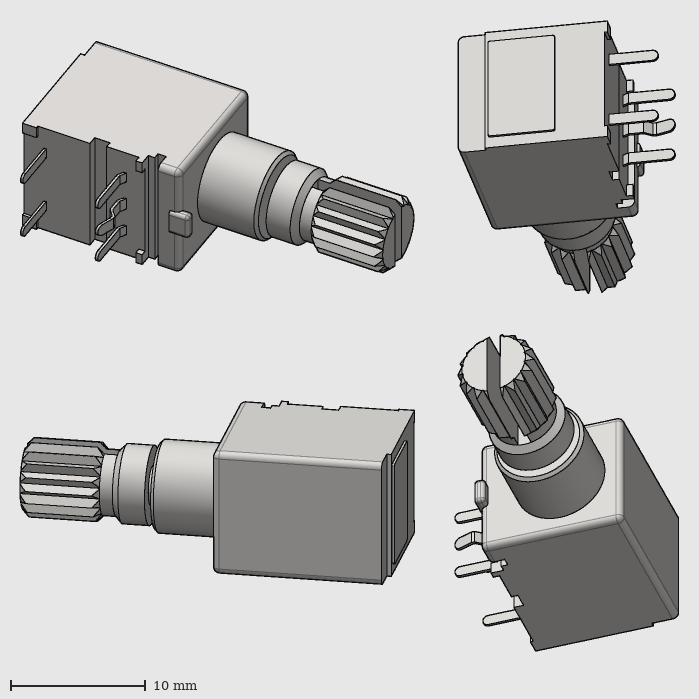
import cadquery as cq
import math


REAR_X = 0.2
UPPER_REAR_X = 0.55
STEP_Y = 2.75
FRONT_X = 13.3
HEIGHT = 9.7
TOP_Y = HEIGHT / 2
EDGE_RADIUS = 0.48

SWITCH_BASE_Y = -6.28
GROOVE_Y = -5.52
PIN_BASE_Y = -6.03
GAP_Y = -5.0
FOOT_Y = -6.5
GROOVE_START_X = 5.75
GROOVE_END_X = 7.02
PIN_BASE_END_X = 10.25
GAP_START_X = 10.78
COVER_X = 11.45
REAR_FOOT_END_X = 1.4
FRONT_FOOT_START_X = 9.7
FOOT_DEPTH = 0.93

PANEL_TOP_Y = 2.5
PANEL_BOTTOM_Y = -2.55
PANEL_HEIGHT = 7.95
PANEL_CORNER_RADIUS = 0.15

TAB_START_X = 12.48
TAB_END_X = 14.12
TAB_TOP_Y = -5.7
TAB_WIDTH = 2.05
TAB_EDGE_RADIUS = 0.28

TOTAL_DEPTH = 14.85
PIN_TIP_Y = TOP_Y - TOTAL_DEPTH
PIN_SPACING = 2.52
PIN_WIDTH = 0.85
REAR_PIN_X = 1.98
REAR_PIN_THICKNESS = 0.2
FRONT_PIN_X = 8.15
FRONT_PIN_THICKNESS = 0.23
JOG_Y = -6.5
JOG_OFFSET = 0.28
CLIP_WIDTH = 1.0
CLIP_OFFSET = 0.5
CLIP_START_Y = -7.65
CLIP_PEAK_START_Y = -8.25
CLIP_PEAK_END_Y = -8.52
PIN_ROOT_DEPTH = 0.57

BUSHING_END_X = 18.28
BUSHING_RADIUS = 3.5
BUSHING_CHAMFER = 0.25
NECK_RADIUS = 1.5
COLLAR_START_X = 18.8
COLLAR_END_X = 21.3
COLLAR_RADIUS = 3.0
SHAFT_RADIUS = 2.5
KNURL_START_X = 22.3
SHAFT_END_X = 28.3
KNURL_RADIUS = 3.0
KNURL_ROOT_RADIUS = 2.43
TOOTH_COUNT = 18
SLOT_WIDTH = 1.02


def box(x_range, y_range, z_range):
    """Box spanning the given (low, high) ranges."""
    size = [high - low for low, high in (x_range, y_range, z_range)]
    corner = (x_range[0], y_range[0], z_range[0])
    return cq.Workplane("XY").box(*size, centered=False).translate(corner)


def prism(points, depth):
    """Closed XY outline, extruded evenly about the Z = 0 plane."""
    return cq.Workplane("XY").polyline(points).close().extrude(depth / 2, both=True)


def make_housing():
    half = HEIGHT / 2
    rear = box((REAR_X, COVER_X), (SWITCH_BASE_Y, TOP_Y), (-half, half))
    rear = rear.edges("|X and >Y").fillet(EDGE_RADIUS)
    cover = box((COVER_X, FRONT_X), (SWITCH_BASE_Y, TOP_Y), (-half, half))
    cover = cover.edges("|X or >X").fillet(EDGE_RADIUS)
    housing = rear.union(cover)

    cuts = [
        (REAR_X, UPPER_REAR_X, STEP_Y, TOP_Y),
        (GROOVE_START_X, GROOVE_END_X, SWITCH_BASE_Y, GROOVE_Y),
        (GROOVE_END_X, PIN_BASE_END_X, SWITCH_BASE_Y, PIN_BASE_Y),
        (PIN_BASE_END_X, GAP_START_X, SWITCH_BASE_Y, GROOVE_Y),
        (GAP_START_X, COVER_X, SWITCH_BASE_Y, GAP_Y),
    ]
    for x_low, x_high, y_low, y_high in cuts:
        housing = housing.cut(box((x_low, x_high), (y_low, y_high), (-half, half)))
    return housing


def make_feet():
    half = HEIGHT / 2
    feet = cq.Workplane("XY")
    for x_range in ((REAR_X, REAR_FOOT_END_X), (FRONT_FOOT_START_X, PIN_BASE_END_X)):
        for z_range in ((-half, FOOT_DEPTH - half), (half - FOOT_DEPTH, half)):
            feet = feet.add(box(x_range, (FOOT_Y, PIN_BASE_Y), z_range))
    return feet.combine()


def make_panel():
    half = PANEL_HEIGHT / 2
    panel = box((0, REAR_X), (PANEL_BOTTOM_Y, PANEL_TOP_Y), (-half, half))
    return panel.edges("|X").fillet(PANEL_CORNER_RADIUS)


def make_tab():
    half = TAB_WIDTH / 2
    tab = box((TAB_START_X, TAB_END_X), (FOOT_Y, TAB_TOP_Y), (-half, half))
    return tab.edges("|X or >X").fillet(TAB_EDGE_RADIUS)


def round_tip(pin, width):
    """Trim a pin to the given width with a half-round tip."""
    radius = width / 2
    tip_centre_y = PIN_TIP_Y + radius
    blade = (
        cq.Workplane("YZ")
        .moveTo(0, radius)
        .lineTo(tip_centre_y, radius)
        .threePointArc((PIN_TIP_Y, 0), (tip_centre_y, -radius))
        .lineTo(0, -radius)
        .close()
        .extrude(FRONT_X)
    )
    return pin.intersect(blade)


def make_rear_pin():
    half = REAR_PIN_THICKNESS / 2
    strip = box(
        (REAR_PIN_X - half, REAR_PIN_X + half),
        (PIN_TIP_Y, SWITCH_BASE_Y + PIN_ROOT_DEPTH),
        (-PIN_WIDTH, PIN_WIDTH),
    )
    return round_tip(strip, PIN_WIDTH)


def front_strip(bend):
    """Bent strip: `bend` lists the (offset, Y) corners of its rear edge below the jog."""
    edge = [(0, PIN_TIP_Y)] + bend + [
        (0, JOG_Y),
        (JOG_OFFSET, PIN_BASE_Y),
        (JOG_OFFSET, PIN_BASE_Y + PIN_ROOT_DEPTH),
    ]
    rear_edge = [(FRONT_PIN_X + offset, y) for offset, y in edge]
    front_edge = [(x + FRONT_PIN_THICKNESS, y) for x, y in reversed(rear_edge)]
    return prism(rear_edge + front_edge, HEIGHT)


def make_pins():
    rear_pin = make_rear_pin()
    front_pin = round_tip(front_strip([]), PIN_WIDTH)
    clip_bend = [
        (CLIP_OFFSET, CLIP_PEAK_END_Y),
        (CLIP_OFFSET, CLIP_PEAK_START_Y),
        (0, CLIP_START_Y),
    ]
    pins = round_tip(front_strip(clip_bend), CLIP_WIDTH)
    for z in (-PIN_SPACING, PIN_SPACING):
        pins = pins.add(rear_pin.translate((0, 0, z)))
        pins = pins.add(front_pin.translate((0, 0, z)))
    return pins.combine()


def make_bushing_and_shaft():
    """Turned profile about the X axis, up to the start of the knurl."""
    bushing_chamfer_x = BUSHING_END_X - BUSHING_CHAMFER
    collar_cone_x = COLLAR_END_X - (COLLAR_RADIUS - SHAFT_RADIUS)
    root_x = FRONT_X - EDGE_RADIUS
    profile = [
        (root_x, 0),
        (root_x, BUSHING_RADIUS),
        (bushing_chamfer_x, BUSHING_RADIUS),
        (BUSHING_END_X, BUSHING_RADIUS - BUSHING_CHAMFER),
        (BUSHING_END_X, NECK_RADIUS),
        (COLLAR_START_X, NECK_RADIUS),
        (COLLAR_START_X, COLLAR_RADIUS),
        (collar_cone_x, COLLAR_RADIUS),
        (COLLAR_END_X, SHAFT_RADIUS),
        (KNURL_START_X, SHAFT_RADIUS),
        (KNURL_START_X, 0),
    ]
    outline = cq.Workplane("XY").polyline(profile).close()
    return outline.revolve(360, (0, 0, 0), (1, 0, 0))


def make_knurl():
    """V-toothed shaft end, with a tooth crest on the -Y side and both ends coned."""
    length = SHAFT_END_X - KNURL_START_X
    points = []
    for i in range(2 * TOOTH_COUNT):
        radius = KNURL_RADIUS if i % 2 == 0 else KNURL_ROOT_RADIUS
        angle = math.pi + i * math.pi / TOOTH_COUNT
        points.append((radius * math.cos(angle), radius * math.sin(angle)))
    teeth = cq.Workplane("YZ").polyline(points).close().extrude(length)
    blank = cq.Workplane("YZ").circle(KNURL_RADIUS).extrude(length)
    blank = blank.edges().chamfer(KNURL_RADIUS - SHAFT_RADIUS)
    return teeth.intersect(blank).translate((KNURL_START_X, 0, 0))


def make_slot():
    half = SLOT_WIDTH / 2
    reach = HEIGHT / 2
    return box((COLLAR_END_X, SHAFT_END_X), (-half, half), (-reach, reach))


shaft = make_bushing_and_shaft().union(make_knurl()).cut(make_slot())
housing = make_housing().union(make_feet()).union(make_panel()).union(make_tab())
result = housing.union(make_pins()).union(shaft)